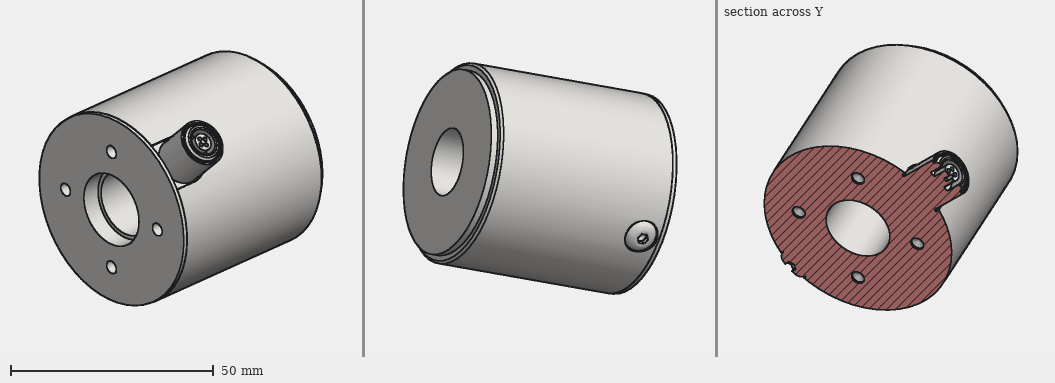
import cadquery as cq
import math

total_length = 50.8
body_diameter = 50.15
flange_diameter = 49.95
flange_thickness = 1.1
rear_boss_diameter = 46.25
rear_boss_length = 1.75
rear_chamfer = 0.65

bore_diameter = 16.9
counterbore_diameter = 19.05
counterbore_depth = 5.0
mount_hole_diameter = 3.3
mount_hole_depth = 6.4
mount_hole_count = 4
mount_circle_radius = 15.85
drill_point_angle = 118.0

connector_y = 7.3
connector_diameter = 11.85
connector_reach = 34.25
connector_root = 20.3
connector_flat_offset = 5.85
recess_diameter = 10.9
recess_depth = 0.55
collar_diameter = 10.0
collar_chamfer = 0.65
collar_height = 0.75
socket_mouth_diameter = 7.6
socket_mouth_depth = 0.2
socket_diameter = 6.75
socket_depth = 4.3
insert_diameter = 4.5
insert_setback = 0.25
pin_hole_diameter = 1.0
pin_hole_depth = 2.15
pin_count = 4
pin_circle_radius = 1.05
pin_start_angle = 22.5
index_notch_diameter = 0.8
index_notch_depth = 0.55
index_notch_radius = 4.85
index_notch_angle = 155.0

slot_width = 12.6
slot_floor = 23.15

screw_y = 6.0
pocket_diameter = 8.6
pocket_floor = 24.05
screw_head_diameter = 8.35
screw_rim = 24.5
dome_mid_radius = 3.35
dome_mid_height = 25.6
screw_top_diameter = 4.15
screw_top = 26.15
hex_across_flats = 2.45
hex_depth = 1.3
hex_cone_depth = 0.65


def revolve_profile(profile):
    """Turn a closed (radius, height) sketch around the local height axis."""
    return profile.close().revolve(360, (0, 0, 0), (0, 1, 0))


def drill(radius, depth):
    """Blind drilled hole along +Y from the origin, with a conical bottom."""
    point_length = radius / math.tan(math.radians(drill_point_angle / 2))
    profile = (
        cq.Workplane("XY")
        .lineTo(radius, 0)
        .lineTo(radius, depth)
        .lineTo(0, depth + point_length)
    )
    return revolve_profile(profile)


def along_y(diameter, start, length):
    """Cylinder around the Y axis, from Y = start."""
    return cq.Workplane("XZ", origin=(0, start, 0)).circle(diameter / 2).extrude(-length)


def radial_plane(side, y, distance):
    """Plane facing outward at 45 degrees: side +1 is up and +X, side -1 is down and -X."""
    normal = cq.Vector(side, 0, side).normalized()
    origin = normal * distance + cq.Vector(0, y, 0)
    return cq.Workplane(cq.Plane(origin=origin, xDir=(side, 0, -side), normal=normal))


def make_housing():
    body_end = total_length - rear_boss_length
    body = along_y(body_diameter, flange_thickness, body_end - flange_thickness)
    body = body.faces(">Y").chamfer(rear_chamfer)
    flange = along_y(flange_diameter, 0, flange_thickness)
    boss = along_y(rear_boss_diameter, body_end, rear_boss_length)
    housing = body.union(flange).union(boss)
    housing = housing.cut(along_y(bore_diameter, 0, total_length))
    housing = housing.cut(along_y(counterbore_diameter, 0, counterbore_depth))
    hole = drill(mount_hole_diameter / 2, mount_hole_depth).translate((mount_circle_radius, 0, 0))
    for index in range(mount_hole_count):
        angle = index * 360 / mount_hole_count
        housing = housing.cut(hole.rotate((0, 0, 0), (0, 1, 0), angle))
    return housing


def make_connector():
    shell = (
        radial_plane(1, connector_y, connector_root)
        .circle(connector_diameter / 2)
        .extrude(connector_reach - connector_root)
    )
    flat_cutter = (
        radial_plane(1, connector_y, connector_root)
        .center(0, -connector_flat_offset - connector_diameter / 2)
        .rect(connector_diameter, connector_diameter)
        .extrude(connector_reach - connector_root)
    )
    recess = (
        radial_plane(1, connector_y, connector_reach)
        .circle(recess_diameter / 2)
        .extrude(-recess_depth)
    )
    collar_length = recess_depth + collar_height
    collar = (
        radial_plane(1, connector_y, connector_reach - recess_depth)
        .circle(collar_diameter / 2)
        .extrude(collar_length)
        .faces(cq.selectors.DirectionMinMaxSelector(cq.Vector(1, 0, 1)))
        .chamfer(collar_chamfer)
    )
    tip = connector_reach + collar_height
    socket = radial_plane(1, connector_y, tip).circle(socket_diameter / 2).extrude(-socket_depth)
    mouth = (
        radial_plane(1, connector_y, tip)
        .circle(socket_mouth_diameter / 2)
        .workplane(offset=-socket_mouth_depth)
        .circle(socket_diameter / 2)
        .loft()
    )
    insert_end = tip - insert_setback
    insert = (
        radial_plane(1, connector_y, insert_end)
        .circle(insert_diameter / 2)
        .extrude(insert_setback - socket_depth)
    )
    pin_holes = (
        radial_plane(1, connector_y, insert_end)
        .polarArray(pin_circle_radius, pin_start_angle, 360, pin_count)
        .circle(pin_hole_diameter / 2)
        .extrude(-pin_hole_depth)
    )
    index_notch = (
        radial_plane(1, connector_y, tip)
        .polarArray(index_notch_radius, index_notch_angle, 360, 1)
        .circle(index_notch_diameter / 2)
        .extrude(-index_notch_depth)
    )
    connector = shell.cut(flat_cutter).cut(recess).union(collar)
    connector = connector.cut(socket).cut(mouth).union(insert)
    return connector.cut(pin_holes).cut(index_notch)


def make_connector_slot():
    slot_height = body_diameter / 2 - slot_floor
    round_end = radial_plane(1, connector_y, slot_floor).circle(slot_width / 2).extrude(slot_height)
    straight_length = connector_y - flange_thickness
    straight = (
        radial_plane(1, connector_y - straight_length / 2, slot_floor)
        .rect(slot_width, straight_length)
        .extrude(slot_height)
    )
    behind_flange = along_y(2 * connector_reach, flange_thickness, total_length)
    return round_end.union(straight).intersect(behind_flange)


def make_screw_pocket():
    return (
        radial_plane(-1, screw_y, pocket_floor)
        .circle(pocket_diameter / 2)
        .extrude(body_diameter / 2 - pocket_floor)
    )


def make_screw():
    base = radial_plane(-1, screw_y, pocket_floor).plane
    section = cq.Plane(origin=base.origin, xDir=(0, 1, 0), normal=cq.Vector(0, 1, 0).cross(base.zDir))
    profile = (
        cq.Workplane(section)
        .lineTo(screw_head_diameter / 2, 0)
        .lineTo(screw_head_diameter / 2, screw_rim - pocket_floor)
        .threePointArc(
            (dome_mid_radius, dome_mid_height - pocket_floor),
            (screw_top_diameter / 2, screw_top - pocket_floor),
        )
        .lineTo(0, screw_top - pocket_floor)
    )
    hex_across_corners = hex_across_flats / math.cos(math.pi / 6)
    hex_socket = (
        radial_plane(-1, screw_y, screw_top)
        .transformed(rotate=(0, 0, 90))
        .polygon(6, hex_across_corners)
        .extrude(-hex_depth)
    )
    socket_point = cq.Workplane(
        cq.Solid.makeCone(
            hex_across_flats / 2,
            0,
            hex_cone_depth,
            pnt=radial_plane(-1, screw_y, screw_top - hex_depth).plane.origin,
            dir=base.zDir * -1,
        )
    )
    return revolve_profile(profile).cut(hex_socket).cut(socket_point)


housing = make_housing().cut(make_connector_slot()).cut(make_screw_pocket())
result = housing.union(make_connector()).union(make_screw())